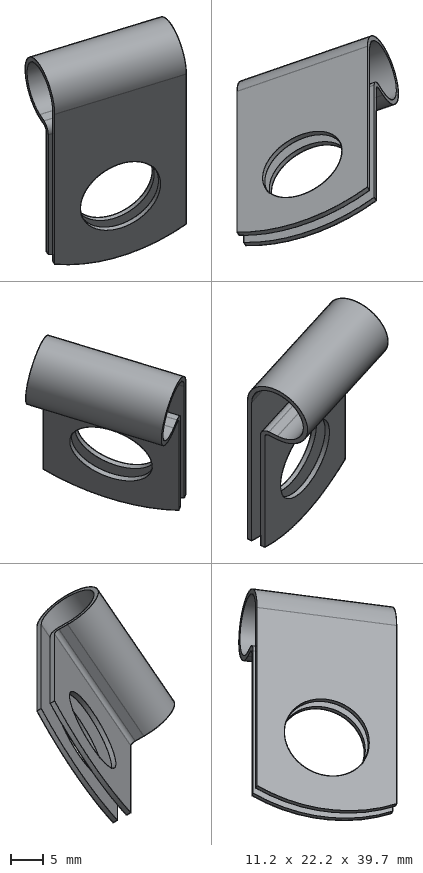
import cadquery as cq
import math

height = 39.7
width = 22.23
loop_diameter = 11.15
thickness = 0.8
leg_gap = 1.63
bend_outer_radius = 1.6
hole_diameter = 13.5
hole_height = 12.7
end_rise = 2.58

loop_radius = loop_diameter / 2
bore_radius = loop_radius - thickness
loop_z = height - loop_radius
loop_bottom_z = loop_z - loop_radius
back_inner_x = loop_radius - thickness
front_inner_x = back_inner_x - leg_gap
front_outer_x = front_inner_x - thickness
bend_inner_radius = bend_outer_radius - thickness
bend_x = front_inner_x - bend_outer_radius
bend_z = loop_bottom_z + thickness - bend_outer_radius
diagonal = math.sqrt(0.5)


def make_strip():
    """Bent strip: back leg, three-quarter loop, short flat, bend and front leg."""
    profile = (
        cq.Workplane("XZ")
        .moveTo(loop_radius, 0)
        .lineTo(loop_radius, loop_z)
        .threePointArc((-loop_radius * diagonal, loop_z + loop_radius * diagonal), (0, loop_bottom_z))
        .lineTo(bend_x, loop_bottom_z)
        .threePointArc(
            (bend_x + bend_inner_radius * diagonal, bend_z + bend_inner_radius * diagonal),
            (front_outer_x, bend_z),
        )
        .lineTo(front_outer_x, 0)
        .lineTo(front_inner_x, 0)
        .lineTo(front_inner_x, bend_z)
        .threePointArc(
            (bend_x + bend_outer_radius * diagonal, bend_z + bend_outer_radius * diagonal),
            (bend_x, loop_bottom_z + thickness),
        )
        .lineTo(0, loop_bottom_z + thickness)
        .threePointArc((-bore_radius * diagonal, loop_z + bore_radius * diagonal), (back_inner_x, loop_z))
        .lineTo(back_inner_x, 0)
        .close()
    )
    return profile.extrude(width / 2, both=True)


def make_side_envelope():
    """Block with the rounded lower end shared by both legs."""
    return (
        cq.Workplane("YZ")
        .moveTo(-width / 2, height)
        .lineTo(-width / 2, end_rise)
        .threePointArc((0, 0), (width / 2, end_rise))
        .lineTo(width / 2, height)
        .close()
        .extrude(loop_diameter, both=True)
    )


def make_hole():
    """Bolt hole passing through both legs."""
    return (
        cq.Workplane("YZ")
        .center(0, hole_height)
        .circle(hole_diameter / 2)
        .extrude(loop_diameter, both=True)
    )


result = make_strip().intersect(make_side_envelope()).cut(make_hole())